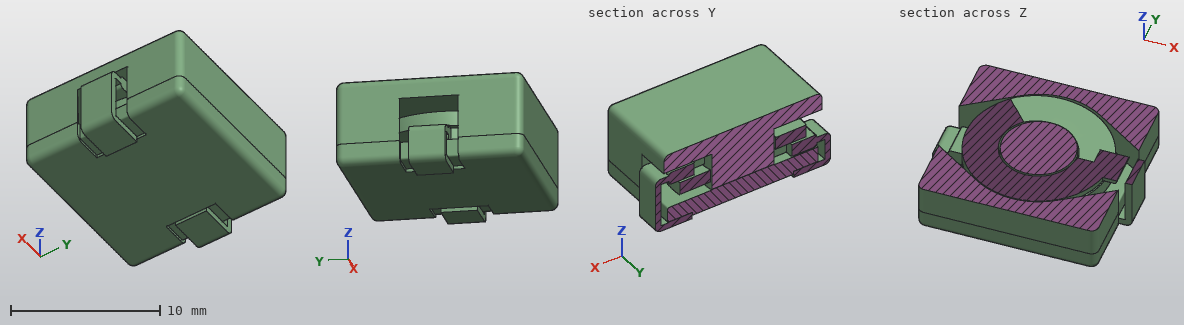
import cadquery as cq
import math

overall_length = 14.2
core_side = 12.8
core_top = 6.2
core_bottom = 0.27
edge_round = 0.53

plate_thickness = 1.49
plate_top = core_bottom + plate_thickness
notch_depth = 0.3
notch_round = 0.13

window_width = 4.0
window_top = 4.73
cavity_radius = 5.18
post_radius = 2.6

coil_bottom = 1.82
coil_inner_radius = 2.7
coil_outer_radius = 5.15
wire_height = 1.02
coil_pitch = 1.19
coil_turns = 1.5

lead_width = 2.5
lead_reach = 5.99
terminal_thickness = 0.5
terminal_rise = 0.3
foot_length = 3.0
lead_round = wire_height - terminal_rise - terminal_thickness

half_side = core_side / 2
terminal_end = overall_length / 2
foot_end = terminal_end - foot_length
SIDES = (-1, 1)


def make_rounded_core():
    """Block with every edge rounded, before it is split into two cores."""
    height = core_top - core_bottom
    block = cq.Workplane("XY").box(core_side, core_side, height, centered=(True, True, False))
    return block.edges().fillet(edge_round).translate((0, 0, core_bottom))


def make_slab(bottom, top):
    """Slab wider than the core, used to keep only one range of heights."""
    slab = cq.Workplane("XY").box(overall_length, overall_length, top - bottom, centered=(True, True, False))
    return slab.translate((0, 0, bottom))


def make_window_flare(side):
    """Window whose two walls spread from the core side until tangent to the cavity."""
    half_width = window_width / 2
    corner_distance = math.hypot(half_side, half_width)
    corner_angle = math.atan2(half_width, half_side)
    tangent_angle = corner_angle + math.acos(cavity_radius / corner_distance)
    tangent_x = side * cavity_radius * math.cos(tangent_angle)
    tangent_y = cavity_radius * math.sin(tangent_angle)
    outline = [
        (side * half_side, -half_width),
        (side * half_side, half_width),
        (tangent_x, tangent_y),
        (tangent_x, -tangent_y),
    ]
    depth = window_top - plate_top
    return cq.Workplane("XY").workplane(offset=plate_top).polyline(outline).close().extrude(depth)


def make_upper_core():
    """Pot-shaped upper core with a round centre post and a lead window on each end."""
    core = make_rounded_core().intersect(make_slab(plate_top, core_top))
    depth = window_top - plate_top
    cavity = cq.Workplane("XY").workplane(offset=plate_top).circle(cavity_radius).extrude(depth)
    for side in SIDES:
        cavity = cavity.union(make_window_flare(side))
    post = cq.Workplane("XY").workplane(offset=plate_top).circle(post_radius).extrude(depth)
    return core.cut(cavity.cut(post))


def make_end_pocket(side):
    """Material removed from one end of the plate: an upright notch and a foot recess."""
    face = side * (half_side - notch_depth)
    outside = side * overall_length
    inner = side * foot_end
    pocket = (
        cq.Workplane("XZ")
        .moveTo(inner, 0)
        .lineTo(inner, terminal_thickness)
        .lineTo(face - side * notch_round, terminal_thickness)
        .radiusArc((face, terminal_thickness + notch_round), -side * notch_round)
        .lineTo(face, plate_top - notch_round)
        .radiusArc((face - side * notch_round, plate_top), -side * notch_round)
        .lineTo(outside, plate_top)
        .lineTo(outside, 0)
        .close()
    )
    return pocket.extrude(window_width / 2, both=True)


def make_lower_core():
    """Flat plate closing the upper core, pocketed for the terminals."""
    plate = make_rounded_core().intersect(make_slab(core_bottom, plate_top))
    for side in SIDES:
        plate = plate.cut(make_end_pocket(side))
    return plate


def make_winding():
    """Helical flat wire that starts at the -X end and rises counterclockwise."""
    path = cq.Wire.makeHelix(coil_pitch, coil_turns * coil_pitch, coil_outer_radius)
    section = cq.Workplane("XZ").polyline([
        (coil_inner_radius, 0),
        (coil_outer_radius, 0),
        (coil_outer_radius, wire_height),
        (coil_inner_radius, wire_height),
    ]).close()
    winding = section.sweep(cq.Workplane(obj=path), isFrenet=True)
    return winding.rotate((0, 0, 0), (0, 0, 1), 180).translate((0, 0, coil_bottom))


def make_lead(side, bottom):
    """Full-height wire end running out radially from the winding."""
    middle_radius = (coil_inner_radius + coil_outer_radius) / 2
    length = lead_reach - middle_radius
    lead = cq.Workplane("XY").box(length, lead_width, wire_height)
    outer_face = ">X" if side > 0 else "<X"
    lead = lead.faces(outer_face).edges("|Y").fillet(lead_round)
    return lead.translate((side * (middle_radius + length / 2), 0, bottom + wire_height / 2))


def make_terminal(side, lead_bottom):
    """Thin strip leaving the lead, bent down and then back under the plate."""
    bend = terminal_thickness
    outer = side * terminal_end
    bend_start = side * (terminal_end - bend)
    inner = side * (lead_reach - lead_round)
    top = lead_bottom + terminal_rise + terminal_thickness
    strip = (
        cq.Workplane("XZ")
        .moveTo(inner, top)
        .lineTo(bend_start, top)
        .radiusArc((outer, top - bend), side * bend)
        .lineTo(outer, bend)
        .radiusArc((bend_start, 0), side * bend)
        .lineTo(side * foot_end, 0)
        .lineTo(side * foot_end, terminal_thickness)
        .lineTo(bend_start, terminal_thickness)
        .lineTo(bend_start, top - terminal_thickness)
        .lineTo(inner, top - terminal_thickness)
        .close()
    )
    return strip.extrude(lead_width / 2, both=True)


def make_coil():
    """Winding with its lead and terminal at both ends, all one piece of wire."""
    coil = make_winding()
    for side in SIDES:
        lead_bottom = coil_bottom if side < 0 else coil_bottom + coil_turns * coil_pitch
        coil = coil.union(make_lead(side, lead_bottom))
        coil = coil.union(make_terminal(side, lead_bottom))
    return coil


upper_core = make_upper_core()
lower_core = make_lower_core()
coil = make_coil()

result = cq.Compound.makeCompound([
    upper_core.solids().val(),
    lower_core.solids().val(),
    coil.solids().val(),
])